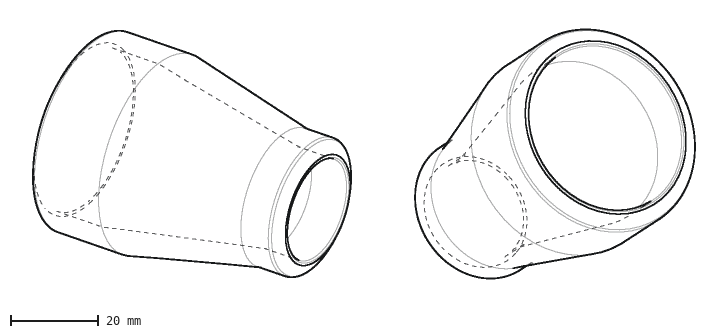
import cadquery as cq
import math

length = 64.0
large_diameter = 48.3
small_diameter = 33.4
large_bore = 39.3
small_bore = 24.4
taper_start = 20.0
bore_taper_start = 12.0
taper_end = 54.0

bevel_angle = 30.0
land = 1.0
shoulder_radius = 0.8
bore_edge_radius = 0.4

search_margin = 0.05

large_radius = large_diameter / 2
small_radius = small_diameter / 2
large_bore_radius = large_bore / 2
small_bore_radius = small_bore / 2


def bevel_depth(outer_radius, bore_radius):
    """Axial length of the end bevel, from the outer cylinder to the land."""
    return (outer_radius - bore_radius - land) * math.tan(math.radians(bevel_angle))


def round_circle(body, x, radius, fillet_radius):
    """Fillet the circular edge of the given radius at axial station x."""
    reach = radius + search_margin
    edge = cq.selectors.BoxSelector(
        (x - search_margin, -reach, -reach),
        (x + search_margin, reach, reach),
        boundingbox=True,
    )
    return body.edges(edge).fillet(fillet_radius)


large_bevel = bevel_depth(large_radius, large_bore_radius)
small_bevel = bevel_depth(small_radius, small_bore_radius)

section = (
    cq.Workplane("XY")
    .moveTo(0, large_bore_radius)
    .lineTo(0, large_bore_radius + land)
    .lineTo(large_bevel, large_radius)
    .lineTo(taper_start, large_radius)
    .lineTo(taper_end, small_radius)
    .lineTo(length - small_bevel, small_radius)
    .lineTo(length, small_bore_radius + land)
    .lineTo(length, small_bore_radius)
    .lineTo(taper_end, small_bore_radius)
    .lineTo(bore_taper_start, large_bore_radius)
    .close()
)
reducer = section.revolve(360, (0, 0, 0), (1, 0, 0))

reducer = round_circle(reducer, large_bevel, large_radius, shoulder_radius)
reducer = round_circle(reducer, length - small_bevel, small_radius, shoulder_radius)
reducer = round_circle(reducer, 0, large_bore_radius, bore_edge_radius)
reducer = round_circle(reducer, length, small_bore_radius, bore_edge_radius)

result = reducer